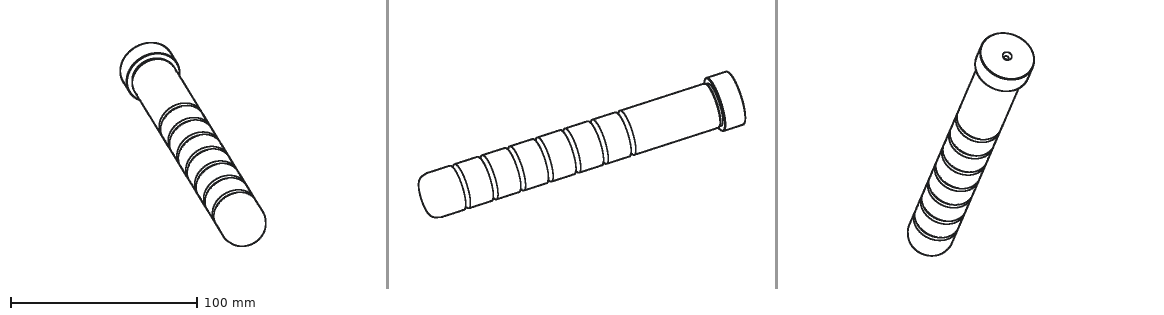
import cadquery as cq
import math

total_length = 180.0
head_diameter = 30.0
head_length = 12.0
head_edge_chamfer = 0.4
shaft_diameter = 25.0

neck_depth = 0.5
neck_flat_length = 1.3
neck_ramp_length = 0.5

groove_count = 7
first_groove_x = 64.0
last_groove_x = 160.0
groove_width = 2.7
groove_depth = 1.0

taper_start_x = 174.6
taper_length = 2.7
taper_angle = 15.0

centre_mouth_diameter = 5.0
centre_pilot_diameter = 2.7
centre_cone_angle = 60.0
centre_pilot_length = 2.7
drill_tip_angle = 120.0

head_radius = head_diameter / 2
shaft_radius = shaft_diameter / 2


def revolve_about_x(outline):
    """Turn a closed (x, radius) outline about the X axis."""
    return outline.close().revolve(360, (0, 0, 0), (1, 0, 0))


def make_body():
    neck_radius = shaft_radius - neck_depth
    neck_end_x = head_length + neck_flat_length
    shaft_start_x = neck_end_x + neck_ramp_length

    slope = math.radians(taper_angle)
    taper_end_x = taper_start_x + taper_length
    taper_end_radius = shaft_radius - taper_length * math.tan(slope)
    nose_radius = (total_length - taper_end_x) / (1 - math.sin(slope))
    nose_centre_x = total_length - nose_radius
    nose_centre_radius = taper_end_radius - nose_radius * math.cos(slope)
    middle_angle = (math.pi / 2 - slope) / 2

    def nose_point(angle):
        return (nose_centre_x + nose_radius * math.cos(angle),
                nose_centre_radius + nose_radius * math.sin(angle))

    outline = (
        cq.Workplane("XY")
        .lineTo(0, head_radius - head_edge_chamfer)
        .lineTo(head_edge_chamfer, head_radius)
        .lineTo(head_length - head_edge_chamfer, head_radius)
        .lineTo(head_length, head_radius - head_edge_chamfer)
        .lineTo(head_length, neck_radius)
        .lineTo(neck_end_x, neck_radius)
        .lineTo(shaft_start_x, shaft_radius)
        .lineTo(taper_start_x, shaft_radius)
        .lineTo(taper_end_x, taper_end_radius)
        .threePointArc(nose_point(middle_angle), nose_point(0))
        .lineTo(total_length, 0)
    )
    return revolve_about_x(outline)


def make_groove(centre_x):
    outline = (
        cq.Workplane("XY")
        .moveTo(centre_x - groove_width / 2, shaft_radius)
        .threePointArc(
            (centre_x, shaft_radius - groove_depth),
            (centre_x + groove_width / 2, shaft_radius),
        )
    )
    return revolve_about_x(outline)


def make_centre_hole():
    mouth_radius = centre_mouth_diameter / 2
    pilot_radius = centre_pilot_diameter / 2
    cone_depth = (mouth_radius - pilot_radius) / math.tan(math.radians(centre_cone_angle / 2))
    pilot_end_x = cone_depth + centre_pilot_length
    tip_depth = pilot_radius / math.tan(math.radians(drill_tip_angle / 2))
    outline = (
        cq.Workplane("XY")
        .lineTo(0, mouth_radius)
        .lineTo(cone_depth, pilot_radius)
        .lineTo(pilot_end_x, pilot_radius)
        .lineTo(pilot_end_x + tip_depth, 0)
    )
    return revolve_about_x(outline)


result = make_body().cut(make_centre_hole())
groove_pitch = (last_groove_x - first_groove_x) / (groove_count - 1)
for index in range(groove_count):
    result = result.cut(make_groove(first_groove_x + index * groove_pitch))